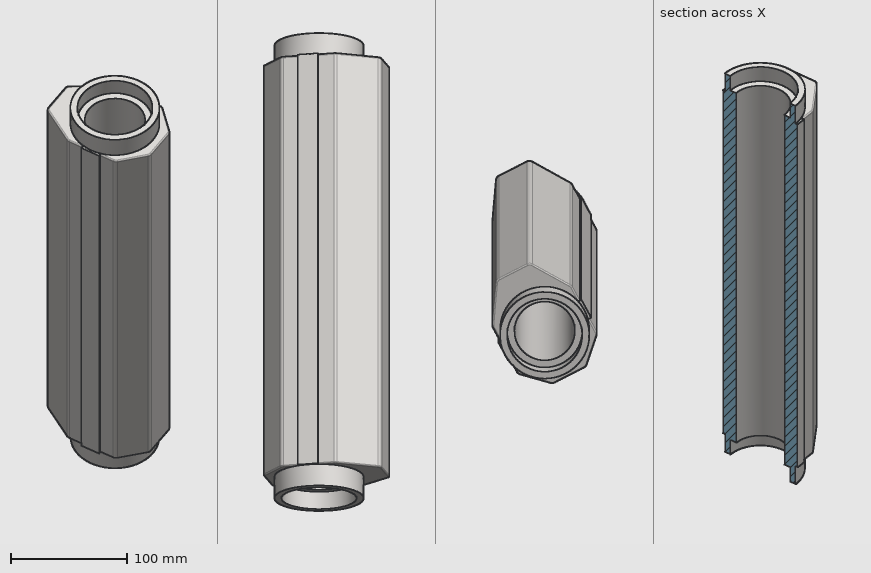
import cadquery as cq

total_length = 406.0
collar_length = 19.0
body_length = total_length - 2 * collar_length

left_x = -59.0
right_x = 45.5
body_width = 77.0
flat_half_length = 24.0
side_half_width = 16.2
corner_radius = 5.0
end_radius = 1.2

strip_width = 18.0
overall_width = 80.8

collar_diameter = 76.7
bore_diameter = 52.0
counterbore_diameter = 64.5
counterbore_depth = 15.5


def cylinder(diameter, length, bottom_z):
    """Cylinder on the bore axis, rising from bottom_z."""
    return cq.Workplane("XY").workplane(offset=bottom_z).circle(diameter / 2).extrude(length)


def make_body():
    """Octagonal prism with rounded long edges and end edges."""
    half_width = body_width / 2
    outline = [
        (left_x, -side_half_width),
        (-flat_half_length, -half_width),
        (flat_half_length, -half_width),
        (right_x, -side_half_width),
        (right_x, side_half_width),
        (flat_half_length, half_width),
        (-flat_half_length, half_width),
        (left_x, side_half_width),
    ]
    prism = cq.Workplane("XY").workplane(offset=collar_length).polyline(outline).close().extrude(body_length)
    return prism.edges("|Z").fillet(corner_radius).faces("<Z or >Z").edges().fillet(end_radius)


strips = (
    cq.Workplane("XY")
    .workplane(offset=collar_length)
    .rect(strip_width, overall_width)
    .extrude(body_length)
)

collars = cylinder(collar_diameter, total_length, 0)

result = make_body().union(strips).union(collars)
result = result.cut(cylinder(bore_diameter, total_length, 0))

for bottom_z in (0, total_length - counterbore_depth):
    result = result.cut(cylinder(counterbore_diameter, counterbore_depth, bottom_z))